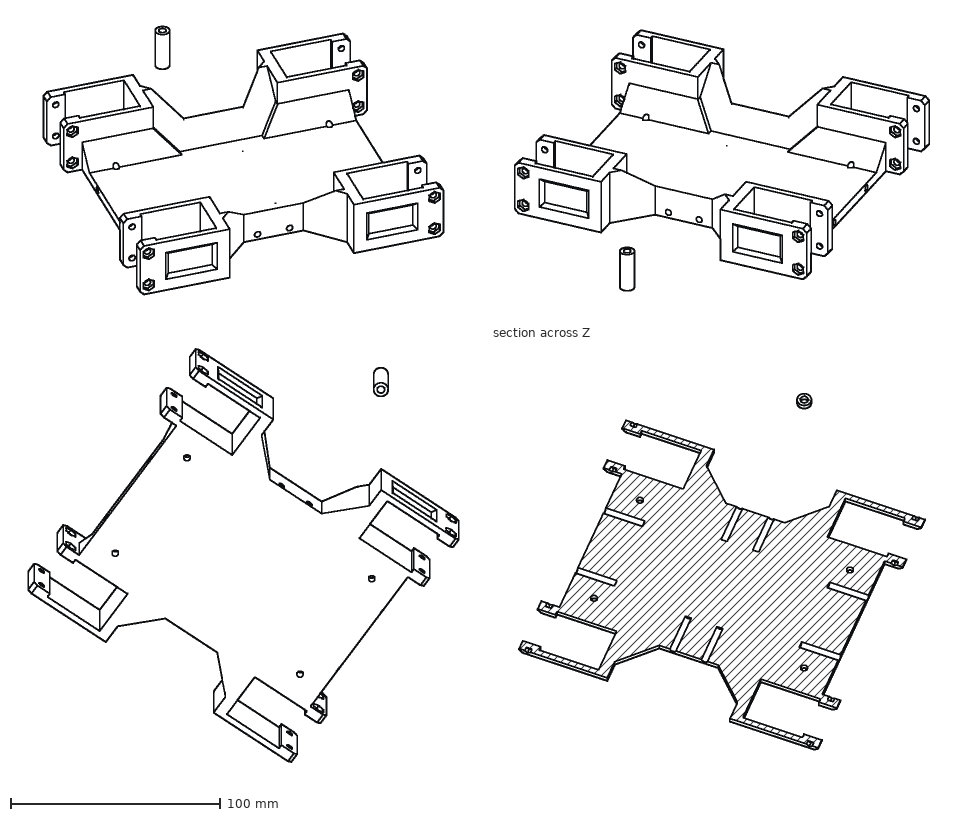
import cadquery as cq
import math

frame_height = 28.0
frame_length = 153.57
bay_width = 23.2
arm_thickness = 3.0
bracket_width = bay_width + 2 * arm_thickness
bracket_gap = 80.9
bracket_inner_x = bracket_gap / 2
bracket_outer_x = bracket_inner_x + bracket_width
bracket_center_x = bracket_inner_x + bracket_width / 2
bracket_end_y = frame_length / 2
bay_inner_y = 37.1
back_wall_thickness = 5.7
bracket_back_y = bay_inner_y - back_wall_thickness
mouth_width = 19.2
end_chamfer = 2.0

screw_diameter = 3.0
nut_width = 5.6
nut_corner_width = nut_width / math.cos(math.pi / 6)
nut_depth = 2.0
screw_end_distance = 4.5
screw_spacing_z = 18.0

recess_length = 26.0
recess_height = 15.4
recess_depth = 1.9
recess_center_y = 50.8

tray_length = 135.0
tray_end_y = tray_length / 2
floor_thickness = 5.0
waist_half_width = bracket_inner_x + arm_thickness
waist_half_length = 15.1
waist_flank_foot_x = 32.5
bracket_flank_foot_x = 29.65
bracket_flank_foot_y = 20.8
diagonal_end_x = waist_half_width + bracket_back_y - waist_half_length

tray_hole_diameter = 3.0
floor_hole_x = 29.85
floor_hole_y = 53.9
edge_hole_depth = 20.0
end_hole_x = 18.2
end_hole_z = 2.5
side_hole_y = 8.1
side_hole_z = 3.0

tube_diameter = 7.0
tube_bore = 3.5
tube_height = 20.0
overall_width = 184.8
tube_x = bracket_outer_x - overall_width + tube_diameter / 2
tube_y = -1.8

SIDES = (-1, 1)


def box(x_range, y_range, z_range):
    """Box spanning the given (low, high) ranges."""
    sizes = [high - low for low, high in (x_range, y_range, z_range)]
    corner = (x_range[0], y_range[0], z_range[0])
    return cq.Workplane("XY").box(*sizes, centered=False).translate(corner)


def rod(diameter, length, start, direction):
    """Cylinder running from a start point along a direction."""
    return cq.Workplane(cq.Solid.makeCylinder(diameter / 2, length, cq.Vector(start), cq.Vector(direction)))


def flared_opening(half_x, half_y):
    """Opening above the floor whose four walls lean outward at 45 degrees."""
    rise = frame_height - floor_thickness
    return (
        cq.Workplane("XY", origin=(0, 0, floor_thickness))
        .rect(2 * half_x, 2 * half_y)
        .workplane(offset=rise)
        .rect(2 * (half_x + rise), 2 * (half_y + rise))
        .loft(ruled=True)
    )


def flared_channel(half_x):
    """Channel along Y above the floor, with flanks leaning outward at 45 degrees."""
    rise = frame_height - floor_thickness
    profile = [
        (-half_x, floor_thickness),
        (half_x, floor_thickness),
        (half_x + rise, frame_height),
        (-half_x - rise, frame_height),
    ]
    return cq.Workplane("XZ").polyline(profile).close().extrude(tray_end_y, both=True)


def make_tray():
    quarter = [
        (waist_half_width, waist_half_length),
        (diagonal_end_x, bracket_back_y),
        (bracket_inner_x, bracket_back_y),
        (bracket_inner_x, tray_end_y),
    ]
    right_side = [(x, -y) for x, y in reversed(quarter)] + quarter
    outline = right_side + [(-x, -y) for x, y in right_side]
    tray = cq.Workplane("XY").polyline(outline).close().extrude(frame_height)
    waist_opening = flared_channel(waist_flank_foot_x).intersect(
        flared_opening(diagonal_end_x, bracket_flank_foot_y)
    )
    return tray.cut(flared_channel(bracket_flank_foot_x)).cut(waist_opening)


def make_bracket():
    """Bracket of the +X, +Y corner."""
    profile = [
        (bracket_back_y, 0),
        (bracket_end_y - end_chamfer, 0),
        (bracket_end_y, end_chamfer),
        (bracket_end_y, frame_height - end_chamfer),
        (bracket_end_y - end_chamfer, frame_height),
        (bracket_back_y, frame_height),
    ]
    bracket = (
        cq.Workplane("YZ", origin=(bracket_inner_x, 0, 0)).polyline(profile).close().extrude(bracket_width)
    )
    full_height = (0, frame_height)
    for width, y_range in (
        (bay_width, (bay_inner_y, tray_end_y)),
        (mouth_width, (tray_end_y, bracket_end_y)),
    ):
        x_range = (bracket_center_x - width / 2, bracket_center_x + width / 2)
        bracket = bracket.cut(box(x_range, y_range, full_height))

    screw_y = bracket_end_y - screw_end_distance
    opposite_nut_shift = bracket_width - nut_depth
    for side in SIDES:
        screw_z = frame_height / 2 + side * screw_spacing_z / 2
        inner_start = (bracket_inner_x, screw_y, screw_z)
        nut_pocket = (
            cq.Workplane("YZ", origin=inner_start)
            .transformed(rotate=(0, 0, 90))
            .polygon(6, nut_corner_width)
            .extrude(nut_depth)
        )
        bracket = bracket.cut(rod(screw_diameter, bracket_width, inner_start, (1, 0, 0)))
        bracket = bracket.cut(nut_pocket)
        bracket = bracket.cut(nut_pocket.translate((opposite_nut_shift, 0, 0)))

    recess_floor = (bracket_outer_x - recess_depth, recess_center_y, frame_height / 2)
    recess = (
        cq.Workplane("YZ", origin=recess_floor)
        .rect(recess_length - 2 * recess_depth, recess_height - 2 * recess_depth)
        .workplane(offset=recess_depth)
        .rect(recess_length, recess_height)
        .loft(ruled=True)
    )
    return bracket.cut(recess)


def drill_tray(body):
    for x_side in SIDES:
        for y_side in SIDES:
            floor_start = (x_side * floor_hole_x, y_side * floor_hole_y, 0)
            end_start = (x_side * end_hole_x, y_side * tray_end_y, end_hole_z)
            side_start = (x_side * waist_half_width, y_side * side_hole_y, side_hole_z)
            body = body.cut(rod(tray_hole_diameter, frame_height, floor_start, (0, 0, 1)))
            body = body.cut(rod(tray_hole_diameter, edge_hole_depth, end_start, (0, -y_side, 0)))
            body = body.cut(rod(tray_hole_diameter, edge_hole_depth, side_start, (-x_side, 0, 0)))
    return body


def make_frame():
    right_back = make_bracket()
    right_pair = right_back.add(right_back.mirror("XZ")).combine()
    brackets = right_pair.add(right_pair.mirror("YZ")).combine()
    return drill_tray(make_tray().union(brackets))


def make_tube():
    tube = cq.Workplane("XY").circle(tube_diameter / 2).circle(tube_bore / 2).extrude(tube_height)
    return tube.translate((tube_x, tube_y, 0))


frame = make_frame()
tube = make_tube()
result = cq.Compound.makeCompound([frame.val(), tube.val()])